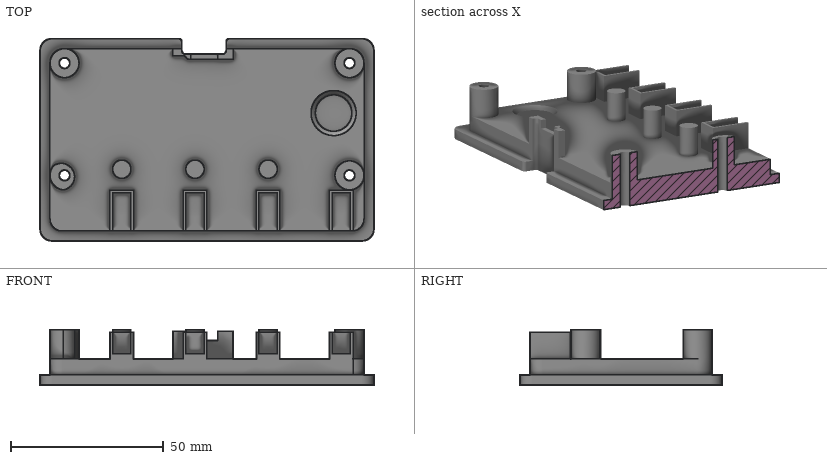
import cadquery as cq

FLANGE_LENGTH = 109.6
FLANGE_WIDTH = 66.4
FLANGE_THICKNESS = 3.3
RIM = 3.3
CORNER_RADIUS = 4.0
PLATE_TOP = 8.5
PLATE_LENGTH = FLANGE_LENGTH - 2 * RIM
PLATE_WIDTH = FLANGE_WIDTH - 2 * RIM
PLATE_FRONT = -PLATE_WIDTH / 2
PLATE_BACK = PLATE_WIDTH / 2

TOTAL_HEIGHT = 18.2
POST_DIAMETER = 9.5
POST_RADIUS = POST_DIAMETER / 2
POST_HOLE_DIAMETER = 3.4
POST_X = PLATE_LENGTH / 2 - POST_RADIUS
POST_BACK_Y = PLATE_BACK - POST_RADIUS
POST_SPACING_Y = 36.8
POST_FRONT_Y = POST_BACK_Y - POST_SPACING_Y
TRIM_DIAMETER = 8.8
TRIM_SHIFT_X = -1.1
TRIM_SHIFT_Y = -0.4

POCKET_COUNT = 4
POCKET_PITCH = 24.0
FIRST_POCKET_X = -28.0
POCKET_WIDTH = 6.0
POCKET_WALL = 0.9
POCKET_BACK_Y = -16.5
POCKET_FLOOR = 10.3
POCKET_TOP = 17.3
PIN_DIAMETER = 6.0
PIN_Y = -9.6

DISH_X = 41.5
DISH_Y = 8.8
DISH_TOP_DIAMETER = 14.8
DISH_FLOOR_DIAMETER = 12.0
DISH_DEPTH = 1.3

NOTCH_LEFT = -8.2
NOTCH_RIGHT = 6.2
NOTCH_FRONT_Y = 28.2
NOTCH_RADIUS = 1.1
WALL_LEFT = -11.2
WALL_RIGHT = 8.5
WALL_FRONT_Y = 26.4
WALL_TOP = 17.6
WALL_STEP = 1.1
WALL_STEP_X = -7.3
WINDOW_LEFT = -5.4
WINDOW_RIGHT = 3.5
WINDOW_SILL = 14.7


def block(left, right, front, back, bottom, top):
    """Box given by its limits along X, Y and Z."""
    box = cq.Workplane("XY").box(right - left, back - front, top - bottom, centered=False)
    return box.translate((left, front, bottom))


def post(x, y, diameter, bottom, top):
    """Vertical cylinder from bottom to top."""
    return cq.Workplane("XY", origin=(x, y, bottom)).circle(diameter / 2).extrude(top - bottom)


def make_base():
    """Rounded flange carrying the plate; the back plate corners match the posts."""
    flange = cq.Workplane("XY").rect(FLANGE_LENGTH, FLANGE_WIDTH).extrude(FLANGE_THICKNESS)
    flange = flange.edges("|Z").fillet(CORNER_RADIUS)
    plate = cq.Workplane("XY").rect(PLATE_LENGTH, PLATE_WIDTH).extrude(PLATE_TOP)
    plate = plate.edges("|Z and <Y").fillet(CORNER_RADIUS)
    plate = plate.edges("|Z and >Y").fillet(POST_RADIUS)
    return flange.union(plate)


def make_trimmed_post(x, y):
    """Post trimmed by a smaller cylinder shifted toward the corner of the plate."""
    full = post(x, y, POST_DIAMETER, FLANGE_THICKNESS, TOTAL_HEIGHT)
    trim = post(x + TRIM_SHIFT_X, y + TRIM_SHIFT_Y, TRIM_DIAMETER, FLANGE_THICKNESS, TOTAL_HEIGHT)
    return full.intersect(trim)


def make_pocket(x):
    """U-shaped wall, open to the front, around a raised floor."""
    half_inside = POCKET_WIDTH / 2
    half_outside = half_inside + POCKET_WALL
    outside = block(x - half_outside, x + half_outside, PLATE_FRONT, POCKET_BACK_Y,
                    FLANGE_THICKNESS, POCKET_TOP)
    inside = block(x - half_inside, x + half_inside, PLATE_FRONT, POCKET_BACK_Y - POCKET_WALL,
                   POCKET_FLOOR, POCKET_TOP)
    return outside.cut(inside)


def make_notch_wall():
    """Wall around the notch: stepped back on the left, with an open window in the middle."""
    step_y = WALL_FRONT_Y + WALL_STEP
    wall = (
        cq.Workplane("XY", origin=(0, 0, FLANGE_THICKNESS))
        .moveTo(WALL_LEFT, PLATE_BACK)
        .lineTo(WALL_LEFT, step_y)
        .lineTo(WALL_STEP_X, step_y)
        .lineTo(WALL_STEP_X + WALL_STEP, WALL_FRONT_Y)
        .lineTo(WALL_RIGHT, WALL_FRONT_Y)
        .lineTo(WALL_RIGHT, PLATE_BACK)
        .close()
        .extrude(WALL_TOP - FLANGE_THICKNESS)
    )
    window = block(WINDOW_LEFT, WINDOW_RIGHT, WALL_FRONT_Y, PLATE_BACK, WINDOW_SILL, WALL_TOP)
    return wall.cut(window)


def make_notch():
    """Cutter for the notch, with rounded inner corners and a rounded mouth."""
    back = FLANGE_WIDTH / 2
    r = NOTCH_RADIUS
    return (
        cq.Workplane("XY")
        .moveTo(NOTCH_LEFT - r, back)
        .radiusArc((NOTCH_LEFT, back - r), r)
        .lineTo(NOTCH_LEFT, NOTCH_FRONT_Y + r)
        .radiusArc((NOTCH_LEFT + r, NOTCH_FRONT_Y), -r)
        .lineTo(NOTCH_RIGHT - r, NOTCH_FRONT_Y)
        .radiusArc((NOTCH_RIGHT, NOTCH_FRONT_Y + r), -r)
        .lineTo(NOTCH_RIGHT, back - r)
        .radiusArc((NOTCH_RIGHT + r, back), r)
        .close()
        .extrude(TOTAL_HEIGHT)
    )


def make_dish():
    """Cutter for the conical dish."""
    return (
        cq.Workplane("XY", origin=(DISH_X, DISH_Y, PLATE_TOP - DISH_DEPTH))
        .circle(DISH_FLOOR_DIAMETER / 2)
        .workplane(offset=DISH_DEPTH)
        .circle(DISH_TOP_DIAMETER / 2)
        .loft()
    )


result = make_base()

for post_x, post_y in [(-POST_X, POST_BACK_Y), (POST_X, POST_BACK_Y), (POST_X, POST_FRONT_Y)]:
    result = result.union(post(post_x, post_y, POST_DIAMETER, FLANGE_THICKNESS, TOTAL_HEIGHT))
result = result.union(make_trimmed_post(-POST_X, POST_FRONT_Y))

for i in range(POCKET_COUNT):
    pocket_x = FIRST_POCKET_X + i * POCKET_PITCH
    result = result.union(make_pocket(pocket_x))
    if i < POCKET_COUNT - 1:
        result = result.union(post(pocket_x, PIN_Y, PIN_DIAMETER, FLANGE_THICKNESS, TOTAL_HEIGHT))

result = result.union(make_notch_wall())
result = result.cut(make_notch())
result = result.cut(make_dish())

for post_x in (-POST_X, POST_X):
    for post_y in (POST_FRONT_Y, POST_BACK_Y):
        result = result.cut(post(post_x, post_y, POST_HOLE_DIAMETER, 0, TOTAL_HEIGHT))